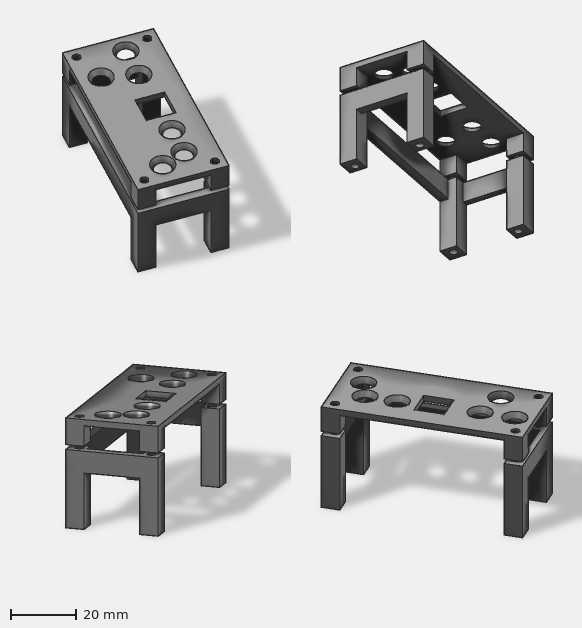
import cadquery as cq

length = 65.0
width = 30.0
leg_side = 6.0
total_height = 35.1

frame_height = 25.0
rail_height = 7.0
left_rail_thickness = 2.0
main_rail_thickness = 3.0

lid_height = 8.5
plate_thickness = 2.0
lid_bottom = total_height - lid_height
plate_bottom = total_height - plate_thickness

screw_hole_diameter = 2.7
screw_hole_inset = 3.4

window_side = 9.75
window_center = (-0.1, 3.25)

hole_diameter = 5.7
hole_mouth_diameter = 8.05
hole_centers = [
    (-26.3, 3.5),
    (-15.15, 3.5),
    (-18.2, -7.75),
    (11.4, 4.3),
    (21.8, 4.3),
    (24.8, -3.9),
]


def block(size_x, size_y, bottom, top, center=(0, 0)):
    """Upright rectangular block between two heights."""
    return (
        cq.Workplane("XY", origin=(center[0], center[1], bottom))
        .rect(size_x, size_y)
        .extrude(top - bottom)
    )


def corner_posts(bottom, top):
    """Four square posts, flush with the outer corners."""
    return (
        cq.Workplane("XY", origin=(0, 0, bottom))
        .rect(length - leg_side, width - leg_side, forConstruction=True)
        .vertices()
        .rect(leg_side, leg_side)
        .extrude(top - bottom)
    )


def screw_holes():
    """Cutter for the four corner screw holes, through the full height."""
    return (
        cq.Workplane("XY")
        .rect(length - 2 * screw_hole_inset, width - 2 * screw_hole_inset, forConstruction=True)
        .vertices()
        .circle(screw_hole_diameter / 2)
        .extrude(total_height)
    )


def flared_hole(center):
    """Cone-shaped cutter through the lid plate, wide end up."""
    cone = cq.Solid.makeCone(
        hole_diameter / 2,
        hole_mouth_diameter / 2,
        plate_thickness,
        pnt=cq.Vector(center[0], center[1], plate_bottom),
    )
    return cq.Workplane(obj=cone)


def make_frame():
    """Four full-height legs with rails at both ends and along the -Y side."""
    rail_bottom = frame_height - rail_height
    left_rail_x = (left_rail_thickness - length) / 2
    right_rail_x = (length - main_rail_thickness) / 2
    front_rail_y = (main_rail_thickness - width) / 2
    left_rail = block(left_rail_thickness, width, rail_bottom, frame_height, (left_rail_x, 0))
    right_rail = block(main_rail_thickness, width, rail_bottom, frame_height, (right_rail_x, 0))
    front_rail = block(length, main_rail_thickness, rail_bottom, frame_height, (0, front_rail_y))
    frame = corner_posts(0, frame_height)
    for rail in (left_rail, right_rail, front_rail):
        frame = frame.union(rail)
    return frame.cut(screw_holes())


def make_lid():
    """Plate on four feet, with the window, the flared holes and the screw holes."""
    plate = block(length, width, plate_bottom, total_height)
    window = block(window_side, window_side, plate_bottom, total_height, window_center)
    lid = plate.union(corner_posts(lid_bottom, total_height)).cut(window).cut(screw_holes())
    for center in hole_centers:
        lid = lid.cut(flared_hole(center))
    return lid


frame = make_frame()
lid = make_lid()

result = cq.Compound.makeCompound([frame.val(), lid.val()])